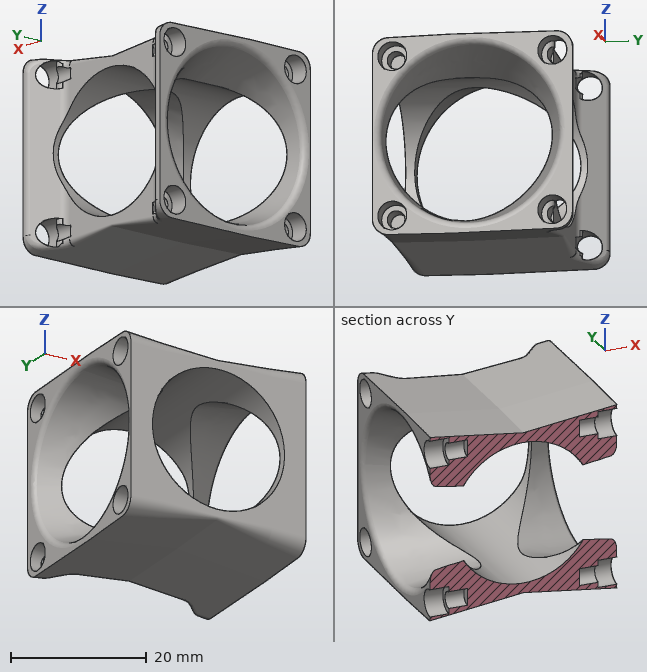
import cadquery as cq
import math

size = 30.0
half = size / 2
waist_half_height = 13.1
ridge_y = -3.18
front_drop = 0.2
back_drop = 0.15

end_corner = 2.4
wing_front_corner = 1.9
waist_front_corner = 0.45

notch_depth = 4.0
notch_floor_half = 10.0
notch_floor_y = half - notch_depth
notch_round = 2.0
notch_edge_round = 0.9
waist_back_corner = 0.3
side_slope = math.radians(45)
half_turn = side_slope / 2
wing_x = notch_floor_half - notch_round * math.tan(half_turn)

outlet_radius = 11.3

duct_y = -0.25
duct_radius = 13.6
duct_lip = 1.0
throat_y = -4.02
throat_half_width = 9.0
throat_half_height = 9.9

screw_spacing = 24.0
bore_radius = 2.15
bore_depth = 3.0
bore_edge_round = 1.0
core_radius = 1.32
core_depth = 6.0

overlap = 1.5


def both_ends(shape):
    """The shape together with its mirror image across the YZ plane."""
    return shape.union(shape.mirror("YZ"))


def section(x, back_y, front_corner, back_corner):
    """Outline of the left half at distance x from the waist, as a wire."""
    crest = waist_half_height + (half - waist_half_height) * x / half
    front = crest - front_drop
    back = crest - back_drop * (back_y - ridge_y) / (half - ridge_y)
    slab_thickness = 0.3
    slab = (
        cq.Workplane("YZ", origin=(-x, 0, 0))
        .polyline([
            (-half, -front), (ridge_y, -crest), (back_y, -back),
            (back_y, back), (ridge_y, crest), (-half, front),
        ])
        .close()
        .extrude(slab_thickness)
        .edges("|X and <Y")
        .fillet(front_corner)
        .edges("|X and >Y")
        .fillet(back_corner)
    )
    return slab.faces("<X").wires().val()


def join_sections(outer, inner):
    """Solid with straight sides between two section outlines."""
    return cq.Workplane(obj=cq.Solid.makeLoft([outer, inner], True))


def make_notch():
    top_half = notch_floor_half + (notch_depth + overlap) / math.tan(side_slope)
    return (
        cq.Workplane("XY", origin=(0, 0, -half))
        .polyline([
            (-notch_floor_half, notch_floor_y),
            (notch_floor_half, notch_floor_y),
            (top_half, half + overlap),
            (-top_half, half + overlap),
        ])
        .close()
        .extrude(size)
        .edges("|Z and <Y")
        .fillet(notch_round)
    )


def make_wing():
    """Left end of the housing, with its share of the notch cut and rounded."""
    wing = join_sections(
        section(half, half, end_corner, end_corner),
        section(wing_x, half, wing_front_corner, end_corner),
    ).cut(make_notch())
    margin = 0.03
    corner_region = cq.selectors.BoxSelector(
        (-notch_floor_half - notch_depth / 2, notch_floor_y - margin, -half),
        (-wing_x - margin, notch_floor_y + notch_depth / 2, half),
    )
    return wing.edges(corner_region).edges("not |Z").fillet(notch_edge_round)


def make_middle():
    """Left half of the stretch between the wings."""
    return join_sections(
        section(wing_x, notch_floor_y, wing_front_corner, notch_edge_round),
        section(0, notch_floor_y, waist_front_corner, waist_back_corner),
    )


def cut_ducts(body):
    duct = (
        cq.Workplane("YZ", origin=(-half, 0, 0))
        .center(duct_y, 0).circle(duct_radius)
        .workplane(offset=half)
        .center(throat_y - duct_y, 0)
        .ellipse(throat_half_width, throat_half_height)
        .loft(ruled=True)
    )
    body = body.cut(both_ends(duct))
    reach = duct_radius + 0.3
    mouth = cq.selectors.BoxSelector(
        (-size, duct_y - reach, -reach), (size, duct_y + reach, reach), boundingbox=True
    )
    return body.faces("<X or >X").edges(mouth).fillet(duct_lip)


def make_outlet():
    return cq.Workplane("XZ", origin=(0, half, 0)).circle(outlet_radius).extrude(size)


def screw_cylinders(radius, depth):
    return (
        cq.Workplane("YZ", origin=(-half, 0, 0))
        .rect(screw_spacing, screw_spacing, forConstruction=True)
        .vertices()
        .circle(radius)
        .extrude(depth)
    )


def make_screw_holes():
    """Left end's holes: a wide bore, its rounded floor and a narrow core."""
    floor_x = -half + bore_depth
    floor_edge_y = notch_floor_y + (-floor_x - notch_floor_half) * math.tan(side_slope)
    floor = (
        cq.Workplane("XY", origin=(0, 0, -half))
        .polyline([
            (floor_x, -half), (floor_x, floor_edge_y),
            (-notch_floor_half, notch_floor_y), (0, notch_floor_y), (0, -half),
        ])
        .close()
        .extrude(size)
        .edges("|Z and >Y")
        .fillet(bore_edge_round)
    )
    round_length = bore_edge_round / math.tan(half_turn)
    bore_reach = bore_depth + round_length * math.cos(side_slope)
    bores = screw_cylinders(bore_radius, bore_reach).cut(floor)
    return bores.union(screw_cylinders(core_radius, core_depth))


housing = both_ends(make_wing().union(make_middle()))
housing = cut_ducts(housing)
result = housing.cut(make_outlet()).cut(both_ends(make_screw_holes()))